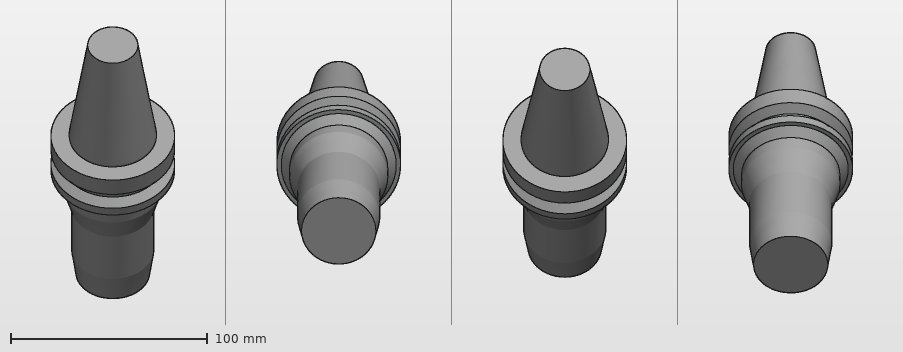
import cadquery as cq

length = 167.0

nose_tip_diameter = 37.7
body_diameter = 42.0
collar_diameter = 50.0
ledge_diameter = 58.5
flange_diameter = 63.0
groove_diameter = 53.0
taper_large_diameter = 44.5
taper_small_diameter = 25.5

nose_top = 16.5
body_top = 47.8
collar_bottom = 62.3
collar_top = 70.3
lower_rim_bottom = 74.8
lower_rim_top = 79.8
groove_bottom = 82.8
groove_top = 87.2
upper_rim_bottom = 90.0
flange_top = 100.5
gauge_land = 1.0
taper_bottom = flange_top + gauge_land

sections = [
    (nose_tip_diameter, 0),
    (body_diameter, nose_top),
    (body_diameter, body_top),
    (collar_diameter, collar_bottom),
    (collar_diameter, collar_top),
    (ledge_diameter, lower_rim_bottom),
    (flange_diameter, lower_rim_bottom),
    (flange_diameter, lower_rim_top),
    (groove_diameter, groove_bottom),
    (groove_diameter, groove_top),
    (flange_diameter, upper_rim_bottom),
    (flange_diameter, flange_top),
    (taper_large_diameter, flange_top),
    (taper_large_diameter, taper_bottom),
    (taper_small_diameter, length),
]

half_outline = [(diameter / 2, height) for diameter, height in sections]
result = (
    cq.Workplane("XZ")
    .polyline([(0, 0)] + half_outline + [(0, length)])
    .close()
    .revolve(360, (0, 0, 0), (0, 1, 0))
)